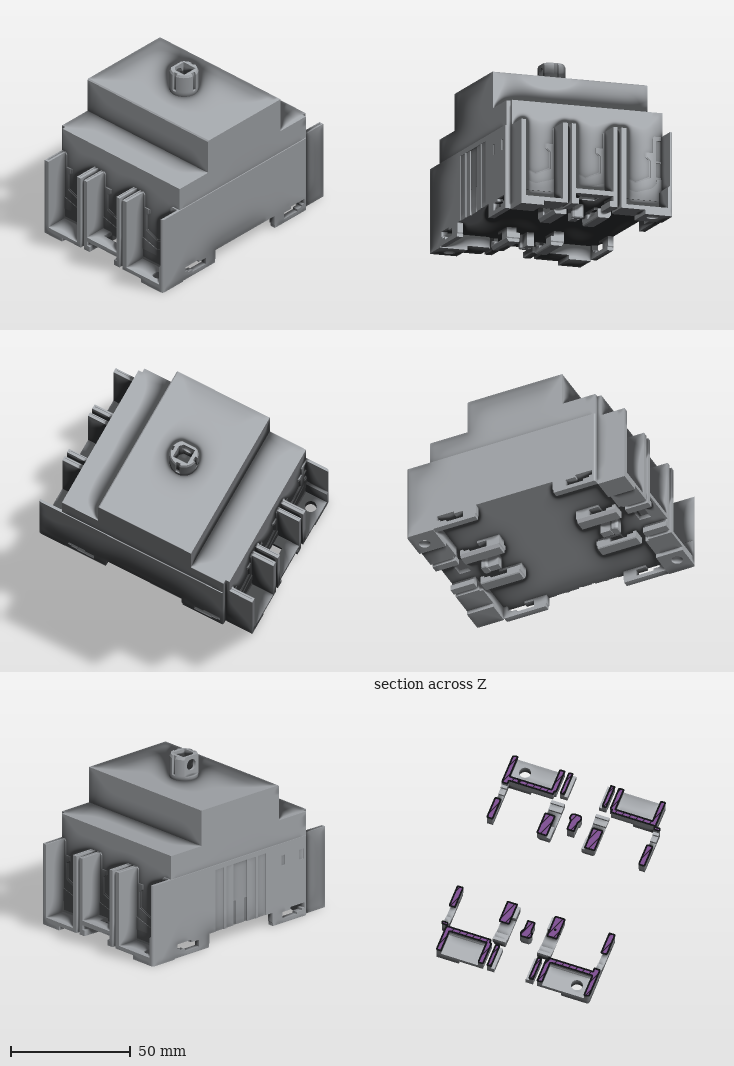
import cadquery as cq
import math

LENGTH = 100.0
WIDTH = 70.0
BASE_TOP = 36.1
SHOULDER_TOP = 46.6
COVER_TOP = 62.4
KNOB_TOP = 72.7
COVER_WIDTH = 69.2
COVER_LENGTH = 44.0
SHOULDER_LENGTH = 78.4
COVER_EDGE = 0.5
CLEARANCE = 1.0

HALF_LENGTH = LENGTH / 2
HALF_WIDTH = WIDTH / 2
FACE = SHOULDER_LENGTH / 2

NOTCH_X = 32.7
NOTCH_Y = 37.4
NOTCH_ROUND = 0.7
CORNER_ROUND = 1.1

MIDDLE_BAY_HALF = 8.4
MIDDLE_WALL_OUTER = 10.2
SIDE_WALL_INNER = 12.0
SIDE_BAY_INNER = 14.2
SIDE_BAY_OUTER = 30.6
SIDE_BAY_CENTRE = (SIDE_BAY_INNER + SIDE_BAY_OUTER) / 2
SIDE_FLOOR_TOP = 3.5
MIDDLE_FLOOR_TOP = 8.4
WIDE_BAY_OUTER = 33.8
WIDE_BAY_LOW_OUTER = 32.8
WIDE_BAY_LEDGE = 13.1
WALL_GROOVE_WIDTH = 0.8
WALL_GROOVE_DEPTH = 0.3
WALL_GROOVE_END = 0.9

FRAME_RISE = 0.6
SILL_RISE = 0.9
FRAME_EDGE = 0.8
FRAME_SHELF = 29.0
LIP_BOTTOM = 26.9
MOUTH_TOP = 25.7
MOUTH_BOTTOM = 18.2
MOUTH_TIP = 15.5
MOUTH_HALF = 6.6
RIM = 0.5
SILL_TIP = 11.5
SILL_SIDE = 14.0
FLOOR_CHAMFER = 0.8
SIDE_WINDOW_HALF = 7.5
SIDE_LIP_HALF = 5.1
MIDDLE_WINDOW_HALF = 7.7
MIDDLE_LIP_HALF = 4.9
SLOT_START = 31.5
SLOT_HEIGHTS = ((18.6, 24.7), (25.5, 34.4))
SWEEP_START = (29.4, 13.7)
SWEEP_MIDDLE = (31.1, 15.2)
SWEEP_END = (31.8, 17.6)

HOLE_X = 27.9
HOLE_Y = 45.0
HOLE_DIAMETER = 4.9
FLOOR_SLOT_WIDTH = 8.3
FLOOR_SLOT_END = 44.3

RAIL_TOP = 6.4
RAIL_HALF = 17.8
RAIL_FLARE = 0.4
RAIL_FLARE_TOP = 2.2
PAD_INNER_X = 22.7
PAD_END_Y = 37.7
RECESS_TOP = 1.8
PANEL_BOTTOM = 0.4
FOOT_BOTTOM = 0.3
SIDE_PANEL_INNER = 32.4
FOOT_INNER = 7.0
FOOT_OUTER = 12.8
FOOT_INNER_EDGE = 0.5
FOOT_OUTER_EDGE = 1.0
LIP_TOP = 4.3

TUNNEL_INNER = 23.7
TUNNEL_STEP = 28.1
TUNNEL_POST = 31.8
TUNNEL_OUTER = 36.0
TUNNEL_CEILING = 5.3
TUNNEL_FLOOR = 3.2
TUNNEL_LOW_FLOOR = 2.2
TUNNEL_STOP = 1.4
TUNNEL_STOP_HEIGHT = 0.9
POST_INNER = 28.4
CLIP_WIDTH = 4.8
CLIP_BOTTOM = 0.6
CLIP_EDGE = 0.8

SIDE_TOP = 34.0
SIDE_DEPTH = 0.3
CENTRE_PANEL_HALF = 8.2
OUTER_PANEL_START = 9.7
OUTER_PANEL_END = 14.3
DEEP_PANEL_HALF = 3.8
SLIT_WIDTH = 1.4
SLIT_TOP = 17.2
WINDOW_SPANS = ((-25.0, -23.0), (-35.4, -33.1))
WINDOW_BOTTOM = 26.1
WINDOW_TOP = 30.6

KNOB_RADIUS = 6.0
KNOB_FLAT_X = -4.5
KNOB_FLAT_BOTTOM = 64.0
KNOB_EDGE_HEIGHT = 1.0
KNOB_EDGE_WIDTH = 0.5
BORE_WIDTH = 6.8
BORE_CORNER = 1.5
PIN_HOLE_DIAMETER = 4.9
PIN_HOLE_Z = 68.7
KEYWAY_WIDTH = 1.9
KEYWAY_DEPTH = 1.2
KEYWAY_BOTTOM = 64.3


def block(x, y, z):
    """Box between pairs of limits along X, Y and Z."""
    return cq.Workplane("XY").box(
        x[1] - x[0], y[1] - y[0], z[1] - z[0], centered=False
    ).translate((x[0], y[0], z[0]))


def prism_y(points, y):
    """Outline in X and Z, extruded between two Y limits."""
    return cq.Workplane("XZ", origin=(0, y[1], 0)).polyline(points).close().extrude(y[1] - y[0])


def prism_x(points, x):
    """Outline in Y and Z, extruded between two X limits."""
    return cq.Workplane("YZ", origin=(x[0], 0, 0)).polyline(points).close().extrude(x[1] - x[0])


def half_turn(shape):
    return shape.rotate((0, 0, 0), (0, 0, 1), 180)


def both_ends(shape):
    return shape.union(half_turn(shape))


def housing():
    base = block((-HALF_WIDTH, HALF_WIDTH), (-HALF_LENGTH, HALF_LENGTH), (0, BASE_TOP))
    half_cover = COVER_WIDTH / 2
    shoulder = block((-half_cover, half_cover), (-FACE, FACE), (0, SHOULDER_TOP))
    cover = (
        cq.Workplane("XY")
        .box(COVER_WIDTH, COVER_LENGTH, COVER_TOP, centered=(True, True, False))
        .faces(">Z").edges("<Y").chamfer(COVER_EDGE)
    )
    body = base.edges("|Z and ((<X and >Y) or (>X and <Y))").fillet(CORNER_ROUND)
    body = body.union(shoulder).union(cover)
    notch = block((-WIDTH, -NOTCH_X), (-LENGTH, -NOTCH_Y), (0, COVER_TOP))
    body = body.cut(both_ends(notch))
    notched_corners = body.edges("|Z").filter(
        lambda edge: math.isclose(abs(edge.Center().x), HALF_WIDTH)
        and math.isclose(abs(edge.Center().y), NOTCH_Y)
    )
    body = notched_corners.fillet(NOTCH_ROUND)
    return body


def bay_cutters():
    """Spaces between the barriers at the -Y end."""
    y = (-LENGTH, -FACE)
    above = BASE_TOP + CLEARANCE
    left = block((-SIDE_BAY_OUTER, -SIDE_BAY_INNER), y, (SIDE_FLOOR_TOP, above))
    middle = block((-MIDDLE_BAY_HALF, MIDDLE_BAY_HALF), y, (MIDDLE_FLOOR_TOP, above))
    ledge_rise = WIDE_BAY_OUTER - WIDE_BAY_LOW_OUTER
    right = prism_y(
        [
            (SIDE_BAY_INNER, SIDE_FLOOR_TOP),
            (WIDE_BAY_LOW_OUTER, SIDE_FLOOR_TOP),
            (WIDE_BAY_LOW_OUTER, WIDE_BAY_LEDGE - ledge_rise),
            (WIDE_BAY_OUTER, WIDE_BAY_LEDGE),
            (WIDE_BAY_OUTER, above),
            (SIDE_BAY_INNER, above),
        ],
        y,
    )
    cutters = left.union(middle).union(right)
    for side in (-1, 1):
        gap = sorted((side * MIDDLE_WALL_OUTER, side * SIDE_WALL_INNER))
        cutters = cutters.union(block(gap, y, (-CLEARANCE, above)))
    hole = (
        cq.Workplane("XY").center(HOLE_X, -HOLE_Y)
        .circle(HOLE_DIAMETER / 2).extrude(SIDE_FLOOR_TOP)
    )
    half_slot = FLOOR_SLOT_WIDTH / 2
    slot = block((-half_slot, half_slot), (-FLOOR_SLOT_END, -FACE), (0, MIDDLE_FLOOR_TOP))
    return cutters.union(hole).union(slot)


def wall_grooves():
    """Grooves along the tops of the barriers at the -Y end."""
    walls = (
        (-NOTCH_X, -SIDE_BAY_OUTER),
        (-SIDE_BAY_INNER, -SIDE_WALL_INNER),
        (-MIDDLE_WALL_OUTER, -MIDDLE_BAY_HALF),
        (MIDDLE_BAY_HALF, MIDDLE_WALL_OUTER),
        (SIDE_WALL_INNER, SIDE_BAY_INNER),
    )
    y = (-HALF_LENGTH + WALL_GROOVE_END, -FACE)
    cutters = cq.Workplane("XY")
    for inner, outer in walls:
        start = (inner + outer - WALL_GROOVE_WIDTH) / 2
        x = (start, start + WALL_GROOVE_WIDTH)
        cutters = cutters.add(block(x, y, (BASE_TOP - WALL_GROOVE_DEPTH, BASE_TOP)))
    return cutters.combine()


def mouth_outline(centre, lip_half, inset):
    """Open-topped terminal mouth with a V bottom, shrunk by inset."""
    half = MOUTH_HALF - inset
    lip = lip_half - inset
    right = [
        (lip, BASE_TOP),
        (lip, LIP_BOTTOM),
        (half, MOUTH_TOP),
        (half, MOUTH_BOTTOM + inset),
    ]
    left = [(-x, z) for x, z in reversed(right)]
    return [(centre + x, z) for x, z in right + [(0, MOUTH_TIP + inset)] + left]


def sill_sweep():
    """Part of the wide bay's sill that curves up to the side wall."""
    return (
        cq.Workplane("XZ", origin=(0, -FACE, 0))
        .moveTo(SWEEP_START[0], MIDDLE_FLOOR_TOP)
        .lineTo(*SWEEP_START)
        .threePointArc(SWEEP_MIDDLE, SWEEP_END)
        .lineTo(WIDE_BAY_OUTER, SWEEP_END[1])
        .lineTo(WIDE_BAY_OUTER, MIDDLE_FLOOR_TOP)
        .close().extrude(SILL_RISE)
    )


def terminal_frame(x_min, x_max, centre, window_half, lip_half, floor):
    """Raised frame round one terminal mouth, with a sill below it."""
    y = (-FACE - FRAME_RISE, -FACE)
    frame = block((x_min, x_max), y, (floor, BASE_TOP))
    window = prism_y(
        [
            (centre - window_half, FRAME_SHELF),
            (centre + window_half, FRAME_SHELF),
            (centre + window_half, BASE_TOP - FRAME_EDGE),
            (centre + window_half + FRAME_EDGE, BASE_TOP),
            (centre - window_half - FRAME_EDGE, BASE_TOP),
            (centre - window_half, BASE_TOP - FRAME_EDGE),
        ],
        y,
    )
    rim_y = (-FACE - FRAME_RISE, -FACE - FRAME_RISE / 2)
    frame = frame.cut(window)
    frame = frame.cut(prism_y(mouth_outline(centre, lip_half, RIM), y))
    frame = frame.cut(prism_y(mouth_outline(centre, lip_half, 0), rim_y))
    sill_end = 2 * centre - x_min
    sill = prism_y(
        [
            (x_min, MIDDLE_FLOOR_TOP),
            (sill_end, MIDDLE_FLOOR_TOP),
            (sill_end, SILL_SIDE),
            (centre, SILL_TIP),
            (x_min, SILL_SIDE),
        ],
        (-FACE - SILL_RISE, -FACE),
    )
    return frame.union(sill)


def floor_chamfer(x):
    """Sloped strip where a side bay floor meets the terminal face."""
    foot = -FACE - FRAME_RISE
    return prism_x(
        [
            (foot, SIDE_FLOOR_TOP),
            (foot - FLOOR_CHAMFER / 2, SIDE_FLOOR_TOP),
            (foot, SIDE_FLOOR_TOP + FLOOR_CHAMFER),
        ],
        x,
    )


def terminal_details():
    """Everything standing on the -Y terminal face."""
    left_bay = (-SIDE_BAY_OUTER, -SIDE_BAY_INNER)
    right_bay = (SIDE_BAY_INNER, WIDE_BAY_OUTER)
    middle_bay = (-MIDDLE_BAY_HALF, MIDDLE_BAY_HALF)
    side_opening = (SIDE_WINDOW_HALF, SIDE_LIP_HALF)
    details = terminal_frame(*left_bay, -SIDE_BAY_CENTRE, *side_opening, SIDE_FLOOR_TOP)
    details = details.union(
        terminal_frame(*middle_bay, 0, MIDDLE_WINDOW_HALF, MIDDLE_LIP_HALF, MIDDLE_FLOOR_TOP)
    )
    right = terminal_frame(*right_bay, SIDE_BAY_CENTRE, *side_opening, SIDE_FLOOR_TOP)
    for bottom, top in SLOT_HEIGHTS:
        right = right.cut(
            block((SLOT_START, WIDE_BAY_OUTER), (-LENGTH, -FACE), (bottom, top))
        )
    right = right.union(sill_sweep())
    details = details.union(right)
    return details.union(floor_chamfer(left_bay)).union(floor_chamfer(right_bay))


def underside_cutters():
    channel_half = [
        (PAD_INNER_X, -CLEARANCE),
        (PAD_INNER_X, RECESS_TOP),
        (FOOT_OUTER, RECESS_TOP),
        (FOOT_OUTER - FOOT_OUTER_EDGE, FOOT_BOTTOM),
        (FOOT_INNER + FOOT_INNER_EDGE, FOOT_BOTTOM),
        (FOOT_INNER, FOOT_BOTTOM + FOOT_INNER_EDGE),
        (FOOT_INNER, LIP_TOP),
        (MIDDLE_BAY_HALF, LIP_TOP),
        (MIDDLE_BAY_HALF, RAIL_TOP),
    ]
    mirrored = [(-x, z) for x, z in reversed(channel_half)]
    cutters = prism_y(channel_half + mirrored, (-LENGTH, LENGTH))
    rail_half = [
        (RAIL_HALF + RAIL_FLARE, -CLEARANCE),
        (RAIL_HALF + RAIL_FLARE, RAIL_FLARE_TOP - RAIL_FLARE),
        (RAIL_HALF, RAIL_FLARE_TOP),
        (RAIL_HALF, RAIL_TOP),
    ]
    mirrored = [(-y, z) for y, z in reversed(rail_half)]
    cutters = cutters.union(prism_x(rail_half + mirrored, (-WIDTH, WIDTH)))
    cutters = cutters.union(
        block((-WIDTH, WIDTH), (-PAD_END_Y, PAD_END_Y), (-CLEARANCE, PANEL_BOTTOM))
    )
    barrier_relief = block((-PAD_INNER_X, PAD_INNER_X), (-LENGTH, -FACE), (-CLEARANCE, RECESS_TOP))
    foot_relief = block((-FOOT_OUTER, FOOT_OUTER), (-FACE, -TUNNEL_OUTER), (-CLEARANCE, RAIL_TOP))
    cutters = cutters.union(both_ends(barrier_relief)).union(both_ends(foot_relief))
    for side in (-1, 1):
        cavity = sorted((side * FOOT_OUTER, side * SIDE_PANEL_INNER))
        cutters = cutters.union(block(cavity, (-PAD_END_Y, PAD_END_Y), (-CLEARANCE, RAIL_TOP)))
    return cutters


def tunnel_cutter():
    """Stepped tunnel across the -Y half of the base."""
    return prism_x(
        [
            (-TUNNEL_INNER, TUNNEL_LOW_FLOOR),
            (-TUNNEL_INNER, TUNNEL_CEILING),
            (-TUNNEL_STEP, TUNNEL_CEILING),
            (-TUNNEL_STEP, RAIL_TOP),
            (-TUNNEL_OUTER, RAIL_TOP),
            (-TUNNEL_OUTER, TUNNEL_FLOOR + TUNNEL_STOP_HEIGHT),
            (-TUNNEL_OUTER + TUNNEL_STOP, TUNNEL_FLOOR + TUNNEL_STOP_HEIGHT),
            (-TUNNEL_OUTER + TUNNEL_STOP, TUNNEL_FLOOR),
            (-TUNNEL_POST, TUNNEL_FLOOR),
            (-TUNNEL_POST, TUNNEL_LOW_FLOOR),
        ],
        (-WIDTH, WIDTH),
    )


def rail_clip():
    half = CLIP_WIDTH / 2
    post = block((-half, half), (-TUNNEL_POST, -POST_INNER), (CLIP_BOTTOM, RAIL_TOP))
    post = post.edges("|Z").chamfer(CLIP_EDGE).faces("<Z").chamfer(CLIP_EDGE / 2)
    half_web = half - CLIP_EDGE
    web = block((-half_web, half_web), (-POST_INNER, -TUNNEL_INNER), (CLIP_BOTTOM, RAIL_TOP))
    return post.union(web)


def side_recesses():
    """Shallow recesses in the -X side of the base."""
    skin = -HALF_WIDTH
    shallow = (skin - CLEARANCE, skin + SIDE_DEPTH)
    deep = (skin - CLEARANCE, skin + 2 * SIDE_DEPTH)
    deepest = (skin - CLEARANCE, skin + 3 * SIDE_DEPTH)
    height = (RAIL_TOP, SIDE_TOP)
    cutters = block(shallow, (-CENTRE_PANEL_HALF, CENTRE_PANEL_HALF), height)
    cutters = cutters.union(block(deep, (-DEEP_PANEL_HALF, DEEP_PANEL_HALF), height))
    for side in (-1, 1):
        panel = sorted((side * OUTER_PANEL_START, side * OUTER_PANEL_END))
        slit = sorted((side * (DEEP_PANEL_HALF - SLIT_WIDTH), side * DEEP_PANEL_HALF))
        cutters = cutters.union(block(shallow, panel, height))
        cutters = cutters.union(block(deepest, slit, (RAIL_TOP, SLIT_TOP)))
    for window in WINDOW_SPANS:
        cutters = cutters.union(block(shallow, window, (WINDOW_BOTTOM, WINDOW_TOP)))
    return cutters


def knob():
    edge_bottom = KNOB_TOP - KNOB_EDGE_HEIGHT
    body = (
        cq.Workplane("XZ")
        .polyline([
            (0, COVER_TOP),
            (KNOB_RADIUS, COVER_TOP),
            (KNOB_RADIUS, edge_bottom),
            (KNOB_RADIUS - KNOB_EDGE_WIDTH, KNOB_TOP),
            (0, KNOB_TOP),
        ])
        .close().revolve(360, (0, 0, 0), (0, 1, 0))
    )
    side = (-KNOB_RADIUS, KNOB_RADIUS)
    upper = (KNOB_FLAT_BOTTOM, KNOB_TOP)
    body = body.cut(block((-KNOB_RADIUS - CLEARANCE, KNOB_FLAT_X), side, upper))
    bore = (
        cq.Workplane("XY", origin=(0, 0, COVER_TOP))
        .rect(BORE_WIDTH, BORE_WIDTH).extrude(KNOB_TOP - COVER_TOP)
        .edges("|Z and <X and <Y").chamfer(BORE_CORNER)
    )
    body = body.cut(bore)
    pin_hole = (
        cq.Workplane("YZ", origin=(-KNOB_RADIUS, 0, PIN_HOLE_Z))
        .circle(PIN_HOLE_DIAMETER / 2).extrude(KNOB_RADIUS)
    )
    body = body.cut(pin_hole)
    half_key = KEYWAY_WIDTH / 2
    keyway = block(
        (KNOB_RADIUS - KEYWAY_DEPTH, KNOB_RADIUS + CLEARANCE),
        (-half_key, half_key),
        (KEYWAY_BOTTOM, KNOB_TOP),
    )
    for angle in (-90, 0, 90):
        body = body.cut(keyway.rotate((0, 0, 0), (0, 0, 1), angle))
    return body


result = housing().cut(both_ends(bay_cutters())).cut(both_ends(wall_grooves()))
result = result.union(both_ends(terminal_details()))
result = result.cut(underside_cutters()).cut(both_ends(tunnel_cutter()))
result = result.union(both_ends(rail_clip()))
result = result.cut(side_recesses()).union(knob())